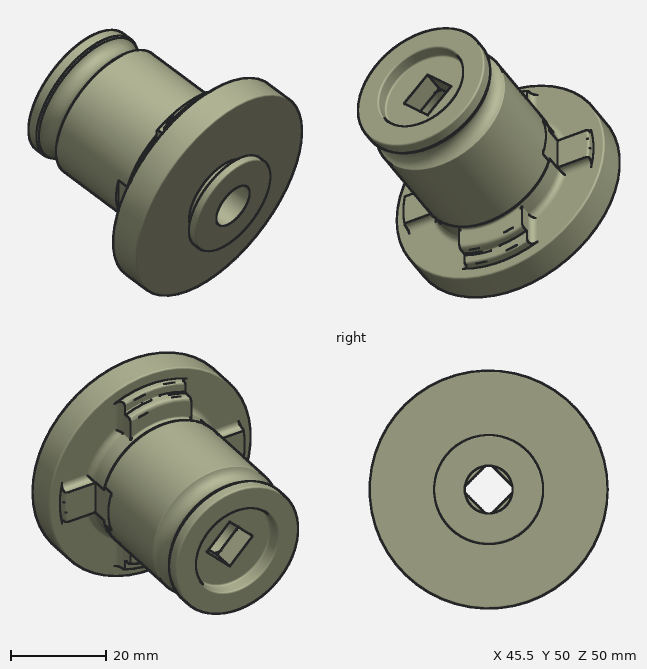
import cadquery as cq
import math

COLLAR_END = 2.6
FLAT_START = 26.3
BODY_END = 29.2
BOSS_FACE = 30.3
LUG_FACE = 32.6
FLANGE_FACE = 34.5
FLANGE_BACK = 41.5
DISC_FACE = 43.75
TOTAL_LENGTH = 45.5

COLLAR_RADIUS = 30.5 / 2
BODY_RADIUS = 31.0 / 2
NECK_RADIUS = 30.5 / 2
FLANGE_RADIUS = 50.0 / 2
REAR_NECK_RADIUS = 18.2 / 2
DISC_RADIUS = 22.9 / 2
LUG_RADIUS = 22.4
BOSS_RADIUS = 20.0

GROOVE_CENTER = 5.75
GROOVE_ARC_RADIUS = 2.9
GROOVE_FLOOR_RADIUS = 13.4
GROOVE_MOUTH = 3.1
GROOVE_MOUTH_RADIUS = 15.0

WIDE_LUG_HALF = 7.5
NARROW_LUG_HALF = 3.75
ROOT_FILLET = 1.4

FLAT_DISTANCE = 14.75

COUNTERBORE_RADIUS = 20.1 / 2
COUNTERBORE_DEPTH = 3.0
SQUARE_SIDE = 8.0
SQUARE_DEPTH = 5.0
BORE_RADIUS = 10.0 / 2

COLLAR_ROUND = 0.4
BODY_ROUND = 0.25
FLANGE_ROUND = 0.4
LUG_ROUND = 0.5
BOSS_ROUND = 0.9
BOSS_STEP_FILLET = 0.3
BOSS_FOOT_FILLET = 0.4
COUNTERBORE_ROUND = 0.4

ARC_MIDDLE = 1 - math.sqrt(0.5)

PICK_MARGIN = 0.1


def cylinder(radius, start, end):
    """Solid cylinder on the X axis between two stations."""
    return cq.Workplane("YZ").workplane(offset=start).circle(radius).extrude(end - start)


def revolve_about_x(profile):
    """Full turn of a closed XY profile about the X axis."""
    return profile.close().revolve(360, (0, 0, 0), (1, 0, 0))


def grooved_body():
    """Collar, round groove and main barrel."""
    center_radius = GROOVE_FLOOR_RADIUS + GROOVE_ARC_RADIUS
    end_reach = math.sqrt(GROOVE_ARC_RADIUS**2 - (center_radius - BODY_RADIUS) ** 2)
    groove_end = GROOVE_CENTER + end_reach
    profile = (
        cq.Workplane("XY")
        .lineTo(0, COLLAR_RADIUS)
        .lineTo(COLLAR_END, COLLAR_RADIUS)
        .lineTo(GROOVE_MOUTH, GROOVE_MOUTH_RADIUS)
        .threePointArc((GROOVE_CENTER, GROOVE_FLOOR_RADIUS), (groove_end, BODY_RADIUS))
        .lineTo(BODY_END, BODY_RADIUS)
        .lineTo(BODY_END, 0)
    )
    body = revolve_about_x(profile)
    body = body.faces("<X").edges().fillet(COLLAR_ROUND)
    body = body.faces(">X").edges().fillet(BODY_ROUND)
    groove_edge = cq.selectors.BoxSelector(
        (groove_end - PICK_MARGIN, -BODY_RADIUS, -BODY_RADIUS),
        (groove_end + PICK_MARGIN, BODY_RADIUS, BODY_RADIUS),
    )
    return body.edges("%CIRCLE").edges(groove_edge).fillet(BODY_ROUND)


def flange():
    """Flange, rear neck and rear disc."""
    plate = cylinder(FLANGE_RADIUS, FLANGE_FACE, FLANGE_BACK).edges("%CIRCLE").fillet(FLANGE_ROUND)
    rear_neck = cylinder(REAR_NECK_RADIUS, FLANGE_BACK, DISC_FACE)
    disc = cylinder(DISC_RADIUS, DISC_FACE, TOTAL_LENGTH).faces(">X").edges().fillet(FLANGE_ROUND)
    return plate.union(rear_neck).union(disc)


def filleted_shaft(radius, start, foot, fillet):
    """Round shaft on the X axis that ends in a concave fillet at its foot."""
    bow = fillet * ARC_MIDDLE
    profile = (
        cq.Workplane("XY")
        .moveTo(start, 0)
        .lineTo(start, radius)
        .lineTo(foot - fillet, radius)
        .threePointArc((foot - bow, radius + bow), (foot, radius + fillet))
        .lineTo(foot, 0)
    )
    return revolve_about_x(profile)


def flared_bar(half_width, face):
    """Bar along Z whose sides flare concavely into the flange face."""
    bow = ROOT_FILLET * ARC_MIDDLE
    flare_start = FLANGE_FACE - ROOT_FILLET
    foot = half_width + ROOT_FILLET
    return (
        cq.Workplane("XY")
        .moveTo(face, -half_width)
        .lineTo(face, half_width)
        .lineTo(flare_start, half_width)
        .threePointArc((FLANGE_FACE - bow, half_width + bow), (FLANGE_FACE, foot))
        .lineTo(FLANGE_FACE, -foot)
        .threePointArc((FLANGE_FACE - bow, -half_width - bow), (flare_start, -half_width))
        .close()
        .extrude(FLANGE_RADIUS, both=True)
    )


def rounded_disc(radius, face, edge_round):
    """Disc ending at the flange face with a rounded front edge."""
    return cylinder(radius, face, FLANGE_FACE).faces("<X").edges().fillet(edge_round)


def boss_feet():
    """Lowest part of both bosses on the neck, with a small fillet all around the joint."""
    height = 2 * (NECK_RADIUS + 2 * BOSS_FOOT_FILLET)
    length = FLANGE_FACE - BOSS_FACE
    bar = (
        cq.Workplane("YZ")
        .workplane(offset=BOSS_FACE)
        .rect(2 * WIDE_LUG_HALF, height)
        .extrude(length)
    )
    joined = cylinder(NECK_RADIUS, BODY_END, FLANGE_FACE).union(bar)
    foot_edges = cq.selectors.BoxSelector(
        (BOSS_FACE - PICK_MARGIN, -WIDE_LUG_HALF - PICK_MARGIN, -NECK_RADIUS - PICK_MARGIN),
        (FLANGE_FACE - PICK_MARGIN, WIDE_LUG_HALF + PICK_MARGIN, NECK_RADIUS + PICK_MARGIN),
    )
    return joined.edges(foot_edges).fillet(BOSS_FOOT_FILLET)


def neck_with_wide_lugs():
    """Neck flaring into the flange, with stepped lugs above and below it."""
    boss_start = BOSS_FACE + BOSS_ROUND
    stepped_disc = (
        rounded_disc(BOSS_RADIUS, BOSS_FACE, BOSS_ROUND)
        .union(filleted_shaft(BOSS_RADIUS, boss_start, LUG_FACE, BOSS_STEP_FILLET))
        .union(rounded_disc(LUG_RADIUS, LUG_FACE, LUG_ROUND))
    )
    lugs = stepped_disc.intersect(flared_bar(WIDE_LUG_HALF, BOSS_FACE))
    neck = filleted_shaft(NECK_RADIUS, BODY_END, FLANGE_FACE, ROOT_FILLET)
    return boss_feet().union(lugs).union(neck)


def narrow_lugs():
    """Low lugs on both Y sides of the neck."""
    bar = flared_bar(NARROW_LUG_HALF, LUG_FACE).rotate((0, 0, 0), (1, 0, 0), 90)
    return rounded_disc(LUG_RADIUS, LUG_FACE, LUG_ROUND).intersect(bar)


def side_flats():
    """Material outside the flats, on both Y sides from the barrel to the lug faces."""
    length = LUG_FACE - FLAT_START
    thickness = BODY_RADIUS
    center_y = FLAT_DISTANCE + thickness / 2
    return (
        cq.Workplane("XY", origin=(FLAT_START + length / 2, 0, 0))
        .pushPoints([(0, -center_y), (0, center_y)])
        .box(length, thickness, 2 * BODY_RADIUS)
    )


def bores():
    """Counterbore with rounded rim and floor, diagonal square drive and through bore."""
    bow = COUNTERBORE_ROUND * ARC_MIDDLE
    profile = (
        cq.Workplane("XY")
        .lineTo(0, COUNTERBORE_RADIUS + COUNTERBORE_ROUND)
        .threePointArc((bow, COUNTERBORE_RADIUS + bow), (COUNTERBORE_ROUND, COUNTERBORE_RADIUS))
        .lineTo(COUNTERBORE_DEPTH - COUNTERBORE_ROUND, COUNTERBORE_RADIUS)
        .threePointArc(
            (COUNTERBORE_DEPTH - bow, COUNTERBORE_RADIUS - bow),
            (COUNTERBORE_DEPTH, COUNTERBORE_RADIUS - COUNTERBORE_ROUND),
        )
        .lineTo(COUNTERBORE_DEPTH, 0)
    )
    square = (
        cq.Workplane("YZ")
        .rect(SQUARE_SIDE, SQUARE_SIDE)
        .extrude(COUNTERBORE_DEPTH + SQUARE_DEPTH)
        .rotate((0, 0, 0), (1, 0, 0), 45)
    )
    through_bore = cylinder(BORE_RADIUS, COUNTERBORE_DEPTH + SQUARE_DEPTH, TOTAL_LENGTH)
    return revolve_about_x(profile).union(square).union(through_bore)


result = (
    grooved_body()
    .union(neck_with_wide_lugs())
    .union(flange())
    .cut(side_flats())
    .union(narrow_lugs())
    .cut(bores())
)